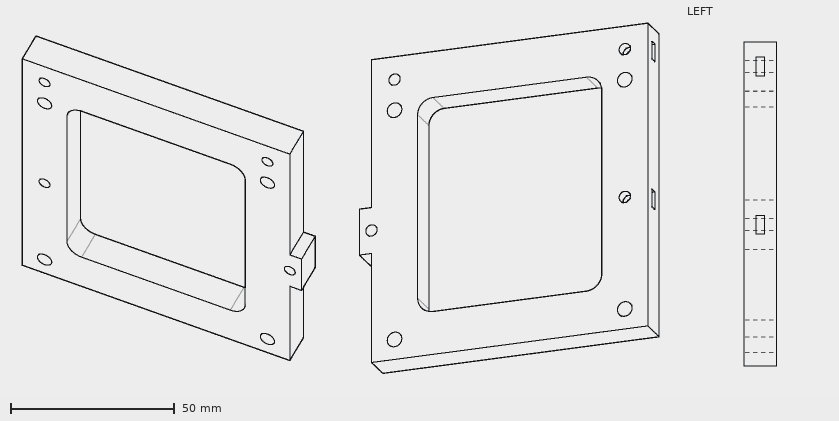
import cadquery as cq

height = 99.0
body_width = 90.0
thickness = 10.0

overall_width = 94.0
tab_height = 15.0
middle_z = 43.2

side_rail = 15.0
bottom_rail = 14.1
top_rail = 15.0
window_radius = 4.95

hole_inset = 7.5
mount_diameter = 4.8
mount_bottom_z = 6.5
mount_pitch_z = 74.9
screw_diameter = 3.7
screw_top_z = height - hole_inset

slot_width = 2.6
slot_height = 5.7
slot_depth = hole_inset + slot_height / 2

left_x = hole_inset
right_x = body_width - hole_inset


def box_at(x, y, z, width, depth, tall):
    """Box with its minimum corner at (x, y, z)."""
    return cq.Workplane("XY").box(width, depth, tall, centered=False).translate((x, y, z))


def through_holes(points, diameter):
    """Round cutters along Y through the full thickness at (x, z) points."""
    return cq.Workplane("XZ").pushPoints(points).circle(diameter / 2).extrude(-thickness)


body = box_at(0, 0, 0, body_width, thickness, height)
tab = box_at(
    body_width / 2, 0, middle_z - tab_height / 2,
    overall_width - body_width / 2, thickness, tab_height,
)
frame = body.union(tab)

window = box_at(
    side_rail, 0, bottom_rail,
    body_width - 2 * side_rail, thickness, height - bottom_rail - top_rail,
).edges("|Y").fillet(window_radius)
frame = frame.cut(window)

mount_points = [
    (x, z)
    for x in (left_x, right_x)
    for z in (mount_bottom_z, mount_bottom_z + mount_pitch_z)
]
screw_points = [
    (left_x, screw_top_z),
    (right_x, screw_top_z),
    (left_x, middle_z),
    (body_width, middle_z),
]
frame = frame.cut(through_holes(mount_points, mount_diameter))
frame = frame.cut(through_holes(screw_points, screw_diameter))

for slot_z in (screw_top_z, middle_z):
    slot = box_at(
        0, (thickness - slot_width) / 2, slot_z - slot_height / 2,
        slot_depth, slot_width, slot_height,
    )
    frame = frame.cut(slot)

result = frame